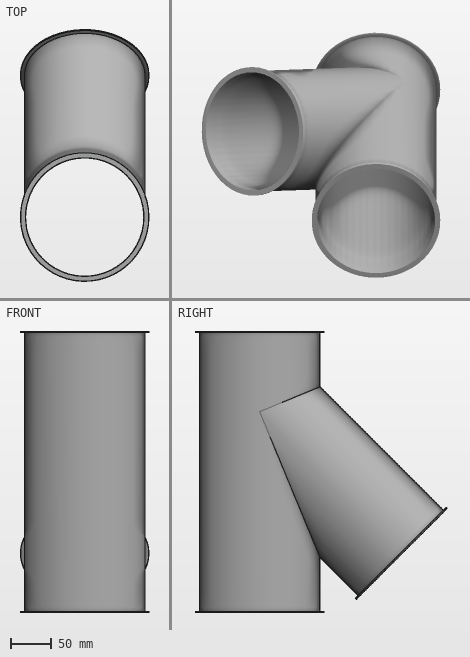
import cadquery as cq
import math

height = 350.0
tube_diameter = 150.0
bore_diameter = 147.0
flange_diameter = 160.0
flange_thickness = 1.8
branch_length = 250.0
junction_height = 250.0
branch_angle = 45.0

main_plane = cq.Plane.XY()
tilt = math.radians(branch_angle)
branch_plane = cq.Plane(
    origin=(0, 0, junction_height),
    xDir=(1, 0, 0),
    normal=(0, math.sin(tilt), -math.cos(tilt)),
)


def cylinder(plane, diameter, length, start=0.0):
    """Solid cylinder on the plane's normal, beginning at the given distance."""
    return cq.Workplane(plane).workplane(offset=start).circle(diameter / 2).extrude(length)


def end_flange(plane, start):
    """Flange disc, later opened by the bore."""
    return cylinder(plane, flange_diameter, flange_thickness, start)


main_body = cylinder(main_plane, tube_diameter, height)
for flange_start in (0.0, height - flange_thickness):
    main_body = main_body.union(end_flange(main_plane, flange_start))

branch_body = cylinder(branch_plane, tube_diameter, branch_length)
branch_body = branch_body.union(end_flange(branch_plane, branch_length - flange_thickness))

result = main_body.union(branch_body)
result = result.cut(cylinder(main_plane, bore_diameter, height))
result = result.cut(cylinder(branch_plane, bore_diameter, branch_length))